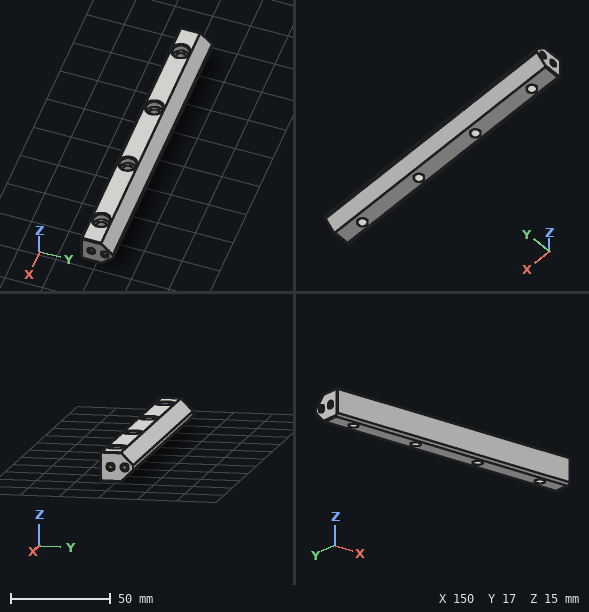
import cadquery as cq
import math

length = 150.0
depth = 17.0
height = 15.0

bevel = 6.3
lower_edge_chamfer = 1.5
upper_edge_chamfer = 0.5
end_chamfer = 0.5

hole_count = 4
hole_end_margin = 15.0
hole_pitch = (length - 2 * hole_end_margin) / (hole_count - 1)
hole_y = (depth - bevel + upper_edge_chamfer) / 2
hole_diameter = 5.2
counterbore_diameter = 8.5
counterbore_depth = 4.3
counterbore_chamfer = 0.5

end_hole_ys = (5.4, 12.6)
end_hole_diameter = 2.5
end_hole_depth = 7.5
end_hole_mouth_diameter = 4.0
drill_point_angle = 118.0

half_length = length / 2
half_height = height / 2


def make_bar():
    """Extrude the cross-section, then chamfer both ends."""
    outline = [
        (0, -half_height + lower_edge_chamfer),
        (lower_edge_chamfer, -half_height),
        (depth - bevel, -half_height),
        (depth, -half_height + bevel),
        (depth, half_height - bevel),
        (depth - bevel, half_height),
        (upper_edge_chamfer, half_height),
        (0, half_height - upper_edge_chamfer),
    ]
    bar = cq.Workplane("YZ").polyline(outline).close().extrude(half_length, both=True)
    body_depth = depth - bevel
    for side in (-1, 1):
        end_x = side * half_length
        inner_x = end_x - side * end_chamfer
        for face in (-1, 1):
            face_z = face * half_height
            corner = [(end_x, face_z), (inner_x, face_z), (end_x, face_z - face * end_chamfer)]
            bar = bar.cut(cq.Workplane("XZ").polyline(corner).close().extrude(-body_depth))
        corner = [(end_x, 0), (inner_x, 0), (end_x, end_chamfer)]
        bar = bar.cut(cq.Workplane("XY").polyline(corner).close().extrude(half_height, both=True))
    return bar


def make_screw_hole():
    """Revolved cutter for one screw hole, on the Z axis."""
    hole_radius = hole_diameter / 2
    bore_radius = counterbore_diameter / 2
    profile = [
        (0, -half_height),
        (hole_radius, -half_height),
        (hole_radius, half_height - counterbore_depth),
        (bore_radius, half_height - counterbore_depth),
        (bore_radius, half_height - counterbore_chamfer),
        (bore_radius + counterbore_chamfer, half_height),
        (0, half_height),
    ]
    return cq.Workplane("XZ").polyline(profile).close().revolve(360, (0, 0), (0, 1))


def make_end_hole():
    """Revolved cutter for one blind hole in the -X end, on the X axis."""
    radius = end_hole_diameter / 2
    mouth_radius = end_hole_mouth_diameter / 2
    tip_length = radius / math.tan(math.radians(drill_point_angle / 2))
    profile = [
        (-half_length, 0),
        (-half_length, mouth_radius),
        (-half_length + mouth_radius - radius, radius),
        (-half_length + end_hole_depth, radius),
        (-half_length + end_hole_depth + tip_length, 0),
    ]
    return cq.Workplane("XY").polyline(profile).close().revolve(360, (0, 0), (1, 0))


result = make_bar()

screw_hole = make_screw_hole()
first_hole_x = -half_length + hole_end_margin
for index in range(hole_count):
    result = result.cut(screw_hole.translate((first_hole_x + index * hole_pitch, hole_y, 0)))

end_hole = make_end_hole()
for y in end_hole_ys:
    placed_hole = end_hole.translate((0, y, 0))
    result = result.cut(placed_hole).cut(placed_hole.mirror("YZ"))